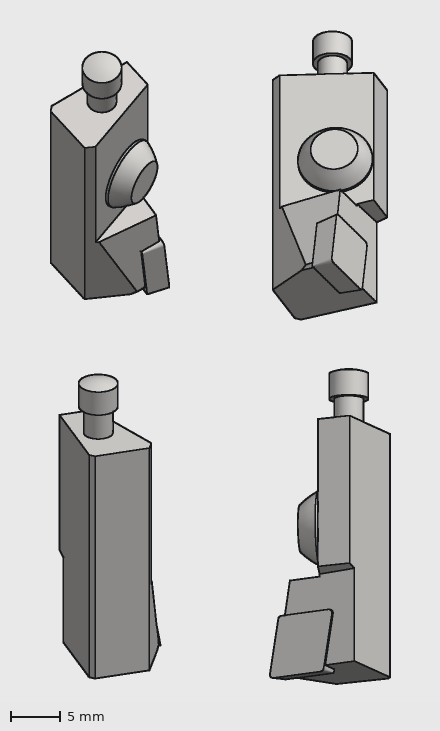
import cadquery as cq
import math

block_bottom = 0.67
block_top = 26.0
block_depth = 10.0
edge_chamfer = 0.48
front_width = 6.3
rear_width = 3.6
nose_y = 1.0

foot_top = 10.0
foot_tip_x = 8.93
foot_tip_y = 4.8
foot_corner_chamfer = 0.35
nose_x = front_width + (foot_tip_x - front_width) * nose_y / foot_tip_y
ramp_point = (7.05, 1.5, foot_top)
ramp_side_slope = 0.1
ramp_drop_slope = 0.17

rake_angle = 6
rake_rise = math.tan(math.radians(rake_angle))
seat_y = 8.83
shoulder_z = 10.65
shoulder_angle = 15

screw_x = 2.5
screw_y = 5.0
neck_diameter = 3.0
neck_top = 29.0
head_diameter = 4.0
head_rim = 31.6
overall_height = 32.0

clamp_diameter = 7.6
clamp_z = 15.5
clamp_rim = 0.3
clamp_setback = 0.1
clamp_height = 2.2
clamp_flat_diameter = 4.8
clamp_mid_diameter = 6.65
clamp_mid_height = 1.1

insert_edge = 6.45
insert_angle = 80
insert_thickness = 2.43
insert_relief = 7
insert_nose_radius = 0.4
insert_tip = (10.0, 8.03, 0)

cutter_size = 64


def make_block():
    outline = [
        (edge_chamfer, 0),
        (front_width, 0),
        (nose_x, nose_y),
        (rear_width, block_depth),
        (0, block_depth),
        (0, edge_chamfer),
    ]
    height = block_top - block_bottom
    return cq.Workplane("XY").workplane(offset=block_bottom).polyline(outline).close().extrude(height)


def make_foot():
    outline = [
        (rear_width, 0),
        (front_width, 0),
        (foot_tip_x, foot_tip_y),
        (foot_tip_x, block_depth),
        (rear_width, block_depth),
    ]
    height = foot_top - block_bottom
    foot = cq.Workplane("XY").workplane(offset=block_bottom).polyline(outline).close().extrude(height)
    ramp_plane = cq.Plane(
        origin=ramp_point,
        xDir=(ramp_side_slope, 1, 0),
        normal=(1, -ramp_side_slope, ramp_drop_slope),
    )
    above_ramp = cq.Workplane(ramp_plane).rect(cutter_size, cutter_size).extrude(cutter_size)
    corner = (
        cq.Workplane("XZ")
        .moveTo(foot_tip_x, block_bottom)
        .lineTo(foot_tip_x - foot_corner_chamfer, block_bottom)
        .lineTo(foot_tip_x, block_bottom + foot_corner_chamfer)
        .close()
        .extrude(-block_depth)
    )
    return foot.cut(above_ramp).cut(corner)


def make_seat_cutter():
    """Space behind the inclined seat and below the sloping shoulder."""
    far_x = 2 * block_depth
    behind_seat = (
        cq.Workplane("XY")
        .polyline([
            (-far_x, seat_y + far_x * rake_rise),
            (far_x, seat_y - far_x * rake_rise),
            (far_x, 2 * far_x),
            (-far_x, 2 * far_x),
        ])
        .close()
        .extrude(block_top)
    )
    shoulder_drop = block_depth * math.tan(math.radians(shoulder_angle))
    below_shoulder = (
        cq.Workplane("YZ")
        .polyline([
            (0, 0),
            (far_x, 0),
            (far_x, shoulder_z + shoulder_drop),
            (0, shoulder_z - shoulder_drop),
        ])
        .close()
        .extrude(far_x, both=True)
    )
    return behind_seat.intersect(below_shoulder)


def make_adjusting_screw():
    neck_radius = neck_diameter / 2
    head_radius = head_diameter / 2
    dome_height = overall_height - head_rim
    dome_radius = (head_radius ** 2 + dome_height ** 2) / (2 * dome_height)
    mid_radius = head_radius / 2
    mid_z = overall_height - dome_radius + math.sqrt(dome_radius ** 2 - mid_radius ** 2)
    profile = (
        cq.Workplane("XZ")
        .moveTo(0, block_top)
        .lineTo(neck_radius, block_top)
        .lineTo(neck_radius, neck_top)
        .lineTo(head_radius, neck_top)
        .lineTo(head_radius, head_rim)
        .threePointArc((mid_radius, mid_z), (0, overall_height))
        .close()
    )
    return profile.revolve(360, (0, 0, 0), (0, 1, 0)).translate((screw_x, screw_y, 0))


def make_clamp_head():
    face_run = nose_x - rear_width
    face_rise = block_depth - nose_y
    face_length = math.hypot(face_run, face_rise)
    along = (face_run / face_length, -face_rise / face_length, 0)
    radius = clamp_diameter / 2
    center_run = radius + clamp_setback
    center = (rear_width + center_run * along[0], block_depth + center_run * along[1], clamp_z)
    profile_plane = cq.Plane(origin=center, xDir=along, normal=(0, 0, 1))
    return (
        cq.Workplane(profile_plane)
        .lineTo(radius, 0)
        .lineTo(radius, clamp_rim)
        .threePointArc((clamp_mid_diameter / 2, clamp_mid_height), (clamp_flat_diameter / 2, clamp_height))
        .lineTo(0, clamp_height)
        .close()
        .revolve(360, (0, 0, 0), (0, 1, 0))
    )


def make_insert():
    rake = math.radians(rake_angle)
    top_plane = cq.Plane(
        origin=insert_tip,
        xDir=(-math.cos(rake), math.sin(rake), 0),
        normal=(math.sin(rake), math.cos(rake), 0),
    )
    side_x = insert_edge * math.cos(math.radians(insert_angle))
    side_z = insert_edge * math.sin(math.radians(insert_angle))
    rhombus = [(0, 0), (insert_edge, 0), (insert_edge + side_x, side_z), (side_x, side_z)]
    outline = cq.Sketch().polygon([*rhombus, rhombus[0]]).vertices().fillet(insert_nose_radius)
    return cq.Workplane(top_plane).placeSketch(outline).extrude(-insert_thickness, taper=insert_relief)


insert = make_insert()

holder = make_block().union(make_foot()).clean().cut(make_seat_cutter())
holder = holder.union(make_adjusting_screw()).union(make_clamp_head())
holder = holder.cut(insert)

result = cq.Compound.makeCompound([holder.val(), insert.val()])